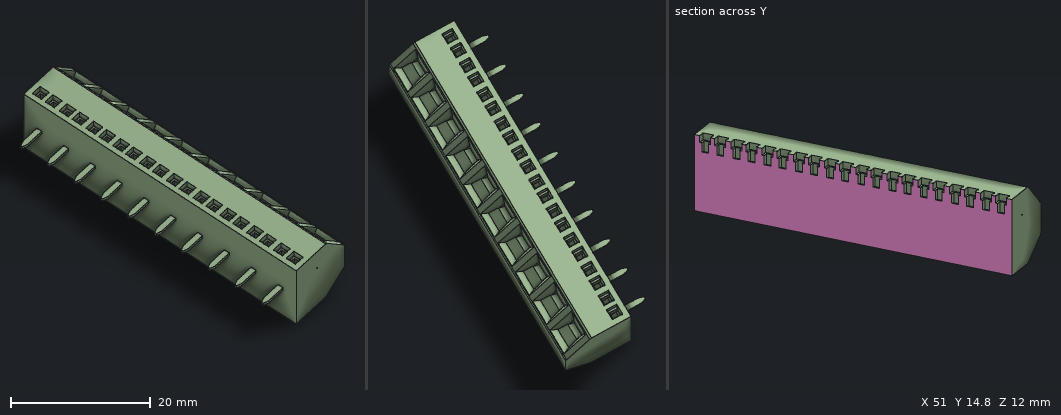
import cadquery as cq
import math


overall_length = 51
stud_length = 0.1
body_length = overall_length - stud_length
body_depth = 10.8
body_height = 12.0
slope_run = 4.3
slope_drop = 4.05
upper_lip_run = 0.3
upper_lip_drop = 0.15
lower_lip_run = 0.2
bottom_chamfer_run = 4.2
bottom_chamfer_drop = 3.0

pole_count = 10
pole_pitch = 5.0
pole_xs = [(i - (pole_count - 1) / 2) * pole_pitch for i in range(pole_count)]

pin_width = 0.9
pin_thickness = 0.5
pin_length = 4.0
pin_tip_length = 0.85
pin_tip_width = 0.35

pocket_width = 4.05
pocket_floor_width = 2.5
pocket_back_inset = 0.3
pocket_front_inset = 3.8
pocket_taper_depth = 1.3
pocket_clearance = 0.5
shelf_run = 1.0
ramp_run = 1.5
ramp_angle = 31
pit_angle = 36

opening_size = 1.7
opening_spacing = 2.4
opening_depth = 1.05
opening_center_y = 1.75
well_width = 1.0
well_margin = 0.3
well_flat = 0.3
well_depth = 1.3
well_floor_angle = 20

stud_diameter = 0.1
stud_y = 4.6
stud_z = 8.4


def extrude_along_x(points, width, x_center):
    """Prism with a Y-Z outline, centred on x_center."""
    plane = cq.Workplane("YZ", origin=(x_center - width / 2, 0, 0))
    return plane.polyline(points).close().extrude(width)


def make_body():
    rear = body_depth
    outline = [
        (0, 0),
        (rear - bottom_chamfer_run, 0),
        (rear, bottom_chamfer_drop),
        (rear, body_height - slope_drop),
        (rear - lower_lip_run, body_height - slope_drop),
        (rear - slope_run + upper_lip_run, body_height - upper_lip_drop),
        (rear - slope_run, body_height),
        (0, body_height),
    ]
    return extrude_along_x(outline, body_length, 0)


def make_pin(x):
    tip_y = -pin_length
    shoulder_y = tip_y + pin_tip_length
    half = pin_width / 2
    half_tip = pin_tip_width / 2
    outline = [
        (x - half, 0),
        (x - half, shoulder_y),
        (x - half_tip, tip_y),
        (x + half_tip, tip_y),
        (x + half, shoulder_y),
        (x + half, 0),
    ]
    plane = cq.Workplane("XY", origin=(0, 0, (body_height - pin_thickness) / 2))
    return plane.polyline(outline).close().extrude(pin_thickness)


slope_low_y = body_depth - lower_lip_run
slope_low_z = body_height - slope_drop
slope_grade = (slope_drop - upper_lip_drop) / (slope_run - lower_lip_run - upper_lip_run)
slope_angle = math.atan(slope_grade)


def slope_z(y):
    return slope_low_z + (slope_low_y - y) * slope_grade


def make_pocket(x):
    """Cutter with tapered side walls over a floor of shelf, ramp and falling pit."""
    back_y = body_depth - pocket_back_inset
    front_y = body_depth - pocket_front_inset
    shelf_z = slope_z(back_y)
    ramp_start_y = back_y - shelf_run
    ridge_y = ramp_start_y - ramp_run
    ridge_z = shelf_z + ramp_run * math.tan(math.radians(ramp_angle))
    pit_z = ridge_z - (ridge_y - front_y) * math.tan(math.radians(pit_angle))
    floor_profile = extrude_along_x(
        [
            (back_y, shelf_z),
            (ramp_start_y, shelf_z),
            (ridge_y, ridge_z),
            (front_y, pit_z),
            (front_y, slope_z(front_y) + pocket_clearance),
            (back_y, shelf_z + pocket_clearance),
        ],
        pocket_width,
        x,
    )
    reach = body_height
    half = pocket_width / 2
    half_floor = pocket_floor_width / 2
    section_plane = cq.Plane(
        origin=(x, slope_low_y, slope_low_z),
        xDir=(1, 0, 0),
        normal=(0, -math.cos(slope_angle), math.sin(slope_angle)),
    )
    section = [
        (-half, pocket_clearance),
        (-half, 0),
        (-half_floor, -pocket_taper_depth),
        (-half_floor, -reach),
        (half_floor, -reach),
        (half_floor, -pocket_taper_depth),
        (half, 0),
        (half, pocket_clearance),
    ]
    walls = cq.Workplane(section_plane).polyline(section).close().extrude(reach, both=True)
    return floor_profile.intersect(walls)


def make_opening(x):
    """Square recess with a narrower, slope-floored well in its ledge."""
    ledge_z = body_height - opening_depth
    front_y = opening_center_y - opening_size / 2
    rear_y = opening_center_y + opening_size / 2
    recess = cq.Workplane("XY", origin=(x, opening_center_y, ledge_z)).rect(
        opening_size, opening_size).extrude(opening_depth)
    well_rear_y = rear_y - well_margin
    well_bend_y = front_y + well_flat
    well_z = ledge_z - well_depth
    slope_fall = (well_rear_y - well_bend_y) * math.tan(math.radians(well_floor_angle))
    well = extrude_along_x(
        [
            (front_y, ledge_z),
            (front_y, well_z),
            (well_bend_y, well_z),
            (well_rear_y, well_z - slope_fall),
            (well_rear_y, ledge_z),
        ],
        well_width,
        x,
    )
    return recess.union(well)


result = make_body()
for pole_x in pole_xs:
    result = result.union(make_pin(pole_x))
    result = result.cut(make_pocket(pole_x))
    for side in (-1, 1):
        result = result.cut(make_opening(pole_x + side * opening_spacing / 2))

stud = cq.Workplane("YZ", origin=(body_length / 2, stud_y, stud_z)).circle(
    stud_diameter / 2).extrude(stud_length)
result = result.union(stud)